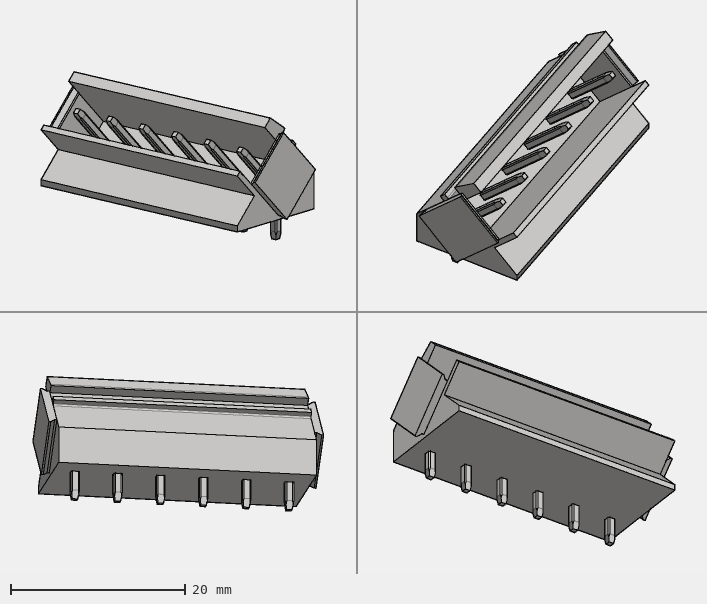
import cadquery as cq
import math


overall_length = 32.0
body_length = 30.0
front_y = -9.5
back_y = 3.8
socket_y = -2.0
socket_z = 0.13
floor_depth = 1.4
wall_end_depth = 9.92
foot_depth = 5.73
lower_wall = 0.67
socket_rise = 6.08
back_rise = 7.0

lip_start_depth = 6.85
lip_flat = 0.32
lip_start_rise = 7.95
lip_end_rise = 7.42

ridge_depth = 3.95
ridge_width = 0.8
ridge_height = 0.7
ridge_fillet = 0.2

plate_depth = 7.8
plate_rise = 6.98
plate_lip = 0.22
plate_neck = 0.25
plate_undercut = 0.5

pin_count = 6
pin_pitch = 5.0
pin_width = 1.0
pin_bevel = 0.15
pin_tip_width = 0.65
pin_taper = 1.0
pin_leg_bottom = -3.23
pin_end_depth = 8.95
pin_rise = 3.1

half_root = math.sqrt(0.5)
depth_direction = cq.Vector(0, -half_root, half_root)
half_body = body_length / 2
half_overall = overall_length / 2


def tilted(depth, rise):
    """Return the (Y, Z) place of a point given along the tilted directions."""
    return (
        socket_y + (rise - depth) * half_root,
        socket_z + (rise + depth) * half_root,
    )


def across_body(outline):
    """Extrude a (Y, Z) outline over the length of the body."""
    return cq.Workplane("YZ").polyline(outline).close().extrude(half_body, both=True)


def make_channel():
    """Foot, socket floor, both long walls and the latch lip, as one profile."""
    back_edge_z = socket_z + back_rise / half_root - (back_y - socket_y)
    foot_edge_z = socket_z + foot_depth / half_root + (front_y - socket_y)
    return across_body([
        (back_y, 0),
        (back_y, back_edge_z),
        tilted(lip_start_depth, back_rise),
        tilted(lip_start_depth, lip_start_rise),
        tilted(lip_start_depth + lip_flat, lip_start_rise),
        tilted(wall_end_depth, lip_end_rise),
        tilted(wall_end_depth, socket_rise),
        tilted(floor_depth, socket_rise),
        tilted(floor_depth, 0),
        tilted(wall_end_depth, 0),
        tilted(wall_end_depth, -lower_wall),
        tilted(foot_depth, -lower_wall),
        (front_y, foot_edge_z),
        (front_y, 0),
    ])


def add_ridge(channel):
    """Ridge on the back face, with a fillet along each side of its root."""
    ridge_end = ridge_depth + ridge_width
    ridge_top = back_rise + ridge_height
    ridge = across_body([
        tilted(ridge_depth, socket_rise),
        tilted(ridge_depth, ridge_top),
        tilted(ridge_end, ridge_top),
        tilted(ridge_end, socket_rise),
    ])
    ridged = channel.union(ridge)
    for root_depth in (ridge_depth, ridge_end):
        root = cq.selectors.NearestToPointSelector((0, *tilted(root_depth, back_rise)))
        ridged = ridged.edges(root).fillet(ridge_fillet)
    return ridged


def make_end_plate():
    """Plate closing the +X end; its outer lip overhangs a narrower neck."""
    lip_x = half_overall - plate_lip
    neck_x = half_body + plate_neck
    neck_top = plate_depth - plate_undercut
    plane = cq.Plane(
        origin=(0, socket_y, socket_z),
        xDir=(1, 0, 0),
        normal=(0, -half_root, -half_root),
    )
    outline = [
        (half_body, plate_undercut),
        (neck_x, plate_undercut),
        (lip_x, 0),
        (half_overall, 0),
        (half_overall, plate_depth),
        (lip_x, plate_depth),
        (neck_x, neck_top),
        (half_body, neck_top),
    ]
    return cq.Workplane(plane).polyline(outline).close().extrude(-plate_rise)


def make_bar(start, direction, length):
    """Bevelled square bar along a direction, tapered to a blunt tip at its far end."""
    plane = cq.Plane(origin=start, xDir=(1, 0, 0), normal=direction)
    straight = length - pin_taper
    bar = cq.Workplane(plane).rect(pin_width, pin_width).extrude(length)
    bar = bar.edges(cq.selectors.ParallelDirSelector(direction)).chamfer(pin_bevel)
    shank = cq.Workplane(plane).rect(pin_width, pin_width).extrude(straight)
    tip = (
        cq.Workplane(plane)
        .workplane(offset=straight)
        .rect(pin_width, pin_width)
        .workplane(offset=pin_taper)
        .rect(pin_tip_width, pin_tip_width)
        .loft()
    )
    return bar.intersect(shank.union(tip))


def make_pin(x):
    """Vertical leg and tilted contact, mitred together inside the housing."""
    bend_depth = pin_rise + socket_y / half_root
    bend_y, bend_z = tilted(bend_depth, pin_rise)
    bend = cq.Vector(x, bend_y, bend_z)
    down = cq.Vector(0, 0, -1)
    overrun = pin_width
    leg = make_bar(bend - down * overrun, down, bend_z - pin_leg_bottom + overrun)
    contact = make_bar(
        bend - depth_direction * overrun,
        depth_direction,
        pin_end_depth - bend_depth + overrun,
    )
    trim_size = 2 * overall_length
    mitre = cq.Plane(origin=bend, xDir=(1, 0, 0), normal=depth_direction - down)
    contact_side = cq.Workplane(mitre).rect(trim_size, trim_size).extrude(trim_size)
    return contact.intersect(contact_side).union(leg.cut(contact_side))


def make_housing(pins):
    """Channel, ridge and end plates, with a matching hole for every pin."""
    plate = make_end_plate()
    housing = add_ridge(make_channel()).union(plate).union(plate.mirror("YZ"))
    for pin in pins:
        housing = housing.cut(pin)
    return housing


first_pin_x = -pin_pitch * (pin_count - 1) / 2
pins = [make_pin(first_pin_x + i * pin_pitch) for i in range(pin_count)]
housing = make_housing(pins)

result = cq.Compound.makeCompound([housing.val(), *[pin.val() for pin in pins]])